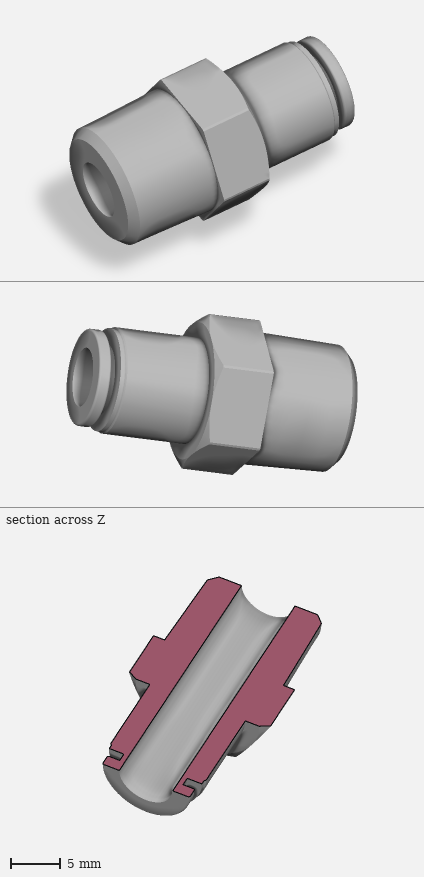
import cadquery as cq
import math

total_length = 27.55
thread_length = 9.95
thread_chamfer_length = 0.88
hex_length = 6.0
body_end = 24.9
shoulder_end = 25.4
collar_start = 26.28

bore_radius = 3.0
thread_root_radius = 6.75
thread_tip_radius = 6.47
thread_face_radius = 5.6
body_radius = 5.43
shoulder_radius = 5.25
body_chamfer = body_radius - shoulder_radius
neck_radius = 3.6
collar_radius = 4.95
collar_fillet = 0.22

hex_across_flats = 14.0
hex_corner_radius = 16.0 / 2
hex_chamfer_angle = 30.0
hex_end = thread_length + hex_length


def revolve_about_y(points):
    """Revolve a closed (radius, y) outline about the Y axis."""
    return cq.Workplane("XY").polyline(points).close().revolve(360, (0, 0), (0, 1))


def make_turned_body():
    """Tapered thread, cylindrical body, shoulder and neck."""
    return revolve_about_y([
        (0, 0),
        (thread_face_radius, 0),
        (thread_tip_radius, thread_chamfer_length),
        (thread_root_radius, thread_length),
        (body_radius, thread_length),
        (body_radius, body_end - body_chamfer),
        (shoulder_radius, body_end),
        (shoulder_radius, shoulder_end),
        (neck_radius, shoulder_end),
        (neck_radius, collar_start),
        (0, collar_start),
    ])


def make_collar():
    """Release collar with both outer rims rounded."""
    return (
        cq.Workplane("XZ", origin=(0, collar_start, 0))
        .circle(collar_radius)
        .extrude(collar_start - total_length)
        .edges("%CIRCLE")
        .fillet(collar_fillet)
    )


def make_hexagon():
    """Hexagon with flats facing +Z and -Z, turned corners and a conical rear chamfer."""
    sharp_corner_diameter = hex_across_flats / math.cos(math.radians(30))
    prism = (
        cq.Workplane("XZ", origin=(0, thread_length, 0))
        .polygon(6, sharp_corner_diameter)
        .extrude(-hex_length)
    )
    flat_radius = hex_across_flats / 2
    chamfer_length = (hex_corner_radius - flat_radius) * math.tan(math.radians(hex_chamfer_angle))
    envelope = revolve_about_y([
        (0, thread_length),
        (hex_corner_radius, thread_length),
        (hex_corner_radius, hex_end - chamfer_length),
        (flat_radius, hex_end),
        (0, hex_end),
    ])
    return prism.intersect(envelope)


bore = cq.Workplane("XZ").circle(bore_radius).extrude(-total_length)

result = make_turned_body().union(make_collar()).union(make_hexagon()).cut(bore)